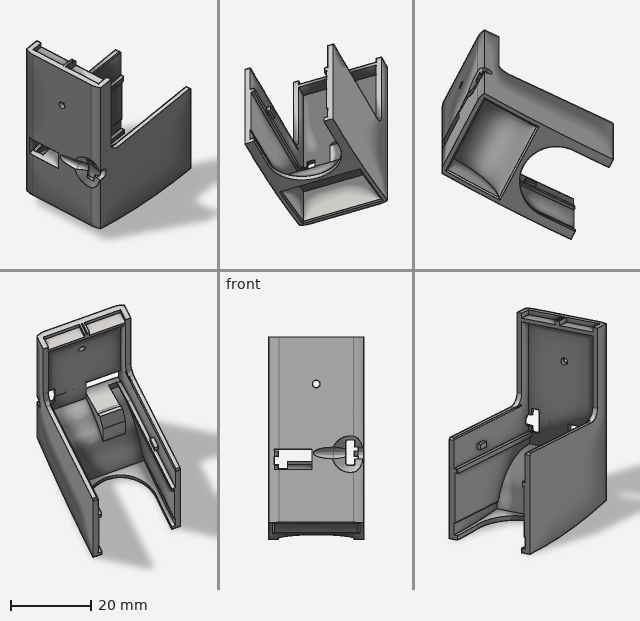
import cadquery as cq
import math

width = 23.8
depth = 36.7
height = 50.6
half_width = width / 2

front_thickness = 1.5
side_thickness = 1.4
bottom_thickness = 1.2
flange_depth = 4.75
side_height = 26.55
flange_fillet = 3.05
inner_half_width = half_width - side_thickness
inner_span = (-inner_half_width, inner_half_width)

flat_half_width = 9.35
edge_setback = 0.65

front_bottom_z = 4.3
bottom_radius = (depth**2 + front_bottom_z**2) / (2 * front_bottom_z)
floor_radius = bottom_radius - bottom_thickness

hump_length = 15.3
hump_rise = 15.45
hump_wall = 0.8
mouth_chamfer = 0.4

opening_half_width = 9.45
opening_front_y = 17.5
opening_height = front_bottom_z
opening_centre_y = opening_front_y + opening_half_width

rail_top = 18.65
rail_bottom = 17.45
rail_end_chamfer = 0.3
liner_thickness = 0.25
lug_y = 22.85
lug_length = 2.95
lug_z = 20.75
lug_height = 1.4
wall_top_chamfer = 0.3
wall_end_chamfer = 0.45

shelf_drop = 1.25
shelf_thickness = 1.0
divider_width = 1.35
divider_groove = 0.25

window_left = -inner_half_width
window_right = -1.1
window_top = 22.5
window_sill = 17.45
ramp_end_y = 8.4
catch_left = -7.25
catch_step_y = 9.45
catch_crest_y = 10.35
catch_back_y = 12.35
catch_top = 19.55
catch_heel_z = 16.7

hole_diameter = 1.8
hole_z = 38.85

dish_x = 8.5
dish_z = 21.3
dish_rim_radius = 4.55
dish_depth = 1.15
slot_left = 7.4
slot_right = 9.55
slot_bottom = 18.55
slot_top = 24.8
slot_chamfer = 0.35
groove_tip_x = -0.7
groove_z = 21.6
groove_radius = 1.45
groove_nose_length = 5.05
notch_floor_y = 2.85


def box(x, y, z):
    """Box between three (low, high) pairs."""
    size = [high - low for low, high in (x, y, z)]
    return cq.Workplane("XY").box(*size, centered=False).translate((x[0], y[0], z[0]))


def profile_plane(start_x):
    """Y-Z sketch plane at the given X, extruding towards +X."""
    return cq.Workplane("YZ").workplane(offset=start_x)


def bottom_cylinder(radius):
    """Cylinder along X, as long as the part is wide, parallel to the curved underside."""
    return profile_plane(-half_width).center(depth, bottom_radius).circle(radius).extrude(width)


def outer_block():
    """Plan outline with rolled-off front edges, trimmed to the L-shaped side outline."""
    roll_radius = ((half_width - flat_half_width) ** 2 + edge_setback**2) / (2 * edge_setback)
    plan = (
        cq.Workplane("XY")
        .moveTo(-flat_half_width, 0)
        .lineTo(flat_half_width, 0)
        .radiusArc((half_width, edge_setback), -roll_radius)
        .lineTo(half_width, depth)
        .lineTo(-half_width, depth)
        .lineTo(-half_width, edge_setback)
        .radiusArc((-flat_half_width, 0), -roll_radius)
        .close()
        .extrude(height)
    )
    side = (
        profile_plane(-half_width)
        .moveTo(0, 0)
        .lineTo(depth, 0)
        .lineTo(depth, side_height - wall_end_chamfer)
        .lineTo(depth - wall_end_chamfer, side_height)
        .lineTo(flange_depth + flange_fillet, side_height)
        .radiusArc((flange_depth, side_height + flange_fillet), flange_fillet)
        .lineTo(flange_depth, height)
        .lineTo(0, height)
        .close()
        .extrude(width)
    )
    underside = bottom_cylinder(bottom_radius)
    above = box((-half_width, half_width), (0, depth), (front_bottom_z, height))
    return plan.intersect(side).intersect(underside.union(above))


def inner_space():
    """Open space between the side walls, above the bottom wall and behind the front plate."""
    room = box(inner_span, (front_thickness, depth), (0, height))
    rounded_floor = bottom_cylinder(floor_radius)
    above = box(inner_span, (0, depth), (front_bottom_z + bottom_thickness, height))
    return room.intersect(rounded_floor.union(above))


def hump_solid(length, rise):
    """Quarter-ellipse body across the inner width, standing behind the front plate."""
    ellipse = (
        profile_plane(-inner_half_width)
        .center(front_thickness, 0)
        .ellipse(length, rise)
        .extrude(2 * inner_half_width)
    )
    return ellipse.intersect(box(inner_span, (front_thickness, depth), (0, height)))


def catch():
    """Latch catch: a block on the hump with a ramp, a step and a sloping back."""
    return (
        profile_plane(catch_left)
        .moveTo(front_thickness, front_bottom_z)
        .lineTo(front_thickness, catch_top)
        .lineTo(catch_crest_y, catch_top)
        .lineTo(catch_back_y, catch_heel_z)
        .lineTo(catch_back_y, front_bottom_z)
        .close()
        .extrude(window_right - catch_left)
    )


def floor_opening():
    """U-shaped opening in the bottom wall, open towards the back."""
    straight = box(
        (-opening_half_width, opening_half_width),
        (opening_centre_y, depth),
        (0, opening_height),
    )
    rounded = (
        cq.Workplane("XY")
        .center(0, opening_centre_y)
        .circle(opening_half_width)
        .extrude(opening_height)
    )
    return straight.union(rounded)


def side_details(side):
    """Rail, lug and wall thickening on the inside of one side wall; side is -1 for left, +1 for right."""
    x_span = sorted((side * opening_half_width, side * inner_half_width))
    rail = box(x_span, (front_thickness, depth), (rail_bottom, rail_top))
    tip_side = "<X" if side > 0 else ">X"
    rail = rail.faces(">Y").edges(tip_side).chamfer(rail_end_chamfer)
    lug = box(x_span, (lug_y, lug_y + lug_length), (lug_z, lug_z + lug_height))
    liner_x = sorted((side * (inner_half_width - liner_thickness), side * inner_half_width))
    liner = box(liner_x, (front_thickness, depth), (front_bottom_z, rail_bottom))
    return rail.union(lug).union(liner)


def wall_top_bevels():
    """Bevel along the inner top edge of both side walls, as one triangular prism each."""
    bevels = cq.Workplane("XZ", origin=(0, depth, 0))
    for side in (-1, 1):
        inner_x = side * inner_half_width
        bevels = (
            bevels.moveTo(inner_x, side_height)
            .lineTo(inner_x + side * wall_top_chamfer, side_height)
            .lineTo(inner_x, side_height - wall_top_chamfer)
            .close()
        )
    return bevels.extrude(depth - flange_depth)


def top_shelf():
    """Shelf that closes the top behind the front plate, with a grooved divider standing on it."""
    shelf_top = height - shelf_drop
    y_span = (front_thickness, flange_depth)
    shelf = box(inner_span, y_span, (shelf_top - shelf_thickness, shelf_top))
    divider = box((-divider_width / 2, divider_width / 2), y_span, (shelf_top, height))
    groove = box(
        (-divider_groove / 2, divider_groove / 2),
        y_span,
        (height - divider_groove, height),
    )
    return shelf.union(divider).cut(groove)


def latch_window():
    """Window through the front plate; its sill climbs gently to the top of the rails."""
    return (
        profile_plane(window_left)
        .moveTo(0, window_sill)
        .lineTo(ramp_end_y, rail_top)
        .lineTo(catch_step_y, rail_top)
        .lineTo(catch_step_y, catch_top)
        .lineTo(front_thickness, window_top)
        .lineTo(0, window_top)
        .close()
        .extrude(window_right - window_left)
    )


def finger_dish():
    """Sphere whose cut in the front face is a shallow round dish."""
    radius = (dish_rim_radius**2 + dish_depth**2) / (2 * dish_depth)
    return cq.Workplane("XY").sphere(radius).translate((dish_x, dish_depth - radius, dish_z))


def key_slot():
    """Upright slot through the front plate, with bevelled corners."""
    slot = box((slot_left, slot_right), (0, front_thickness), (slot_bottom, slot_top))
    return slot.edges("<X and |Y").chamfer(slot_chamfer)


def finger_groove():
    """Half-round groove along X with a half-ellipse nose, running into the slot."""
    nose_end_x = groove_tip_x + groove_nose_length
    straight_length = slot_right - nose_end_x
    return (
        cq.Workplane("XY")
        .center(nose_end_x, 0)
        .ellipseArc(groove_nose_length, groove_radius, 90, 180, startAtCurrent=False)
        .lineTo(straight_length, 0)
        .lineTo(straight_length, groove_radius)
        .close()
        .revolve(360, (0, 0, 0), (1, 0, 0))
        .translate((0, 0, groove_z))
    )


def edge_notch():
    """Round-bottomed notch that carries the groove on, deeper, from the slot to the right edge."""
    length = half_width - slot_right
    centre_y = notch_floor_y - groove_radius
    round_floor = (
        profile_plane(slot_right).center(centre_y, groove_z).circle(groove_radius).extrude(length)
    )
    mouth = box(
        (slot_right, half_width),
        (0, centre_y),
        (groove_z - groove_radius, groove_z + groove_radius),
    )
    return round_floor.union(mouth)


def vent_hole():
    """Round hole through the front plate."""
    return (
        cq.Workplane("XZ")
        .center(0, hole_z)
        .circle(hole_diameter / 2)
        .extrude(-front_thickness)
    )


block = outer_block()
inside_parts = hump_solid(hump_length, hump_rise).union(catch()).union(top_shelf())
for side in (-1, 1):
    inside_parts = inside_parts.union(side_details(side))

result = block.cut(inner_space()).union(inside_parts.intersect(block))

result = result.cut(hump_solid(hump_length - hump_wall, hump_rise - hump_wall))
mouth_edges = cq.selectors.BoxSelector(
    (-half_width, front_thickness - mouth_chamfer, 0),
    (half_width, hump_length + front_thickness - hump_wall, front_bottom_z),
)
result = result.edges(mouth_edges).chamfer(mouth_chamfer)

for cutter in (
    floor_opening(),
    wall_top_bevels(),
    latch_window(),
    finger_dish(),
    key_slot(),
    finger_groove(),
    edge_notch(),
    vent_hole(),
):
    result = result.cut(cutter)